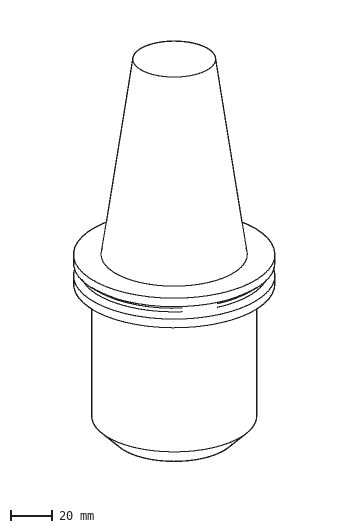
import cadquery as cq
import math

gauge_diameter = 69.85
taper_ratio = 7 / 24
taper_length = 101.75
body_length = 100.0

flange_diameter = 97.5
flange_top = -3.2
flange_bottom = -19.1

groove_floor_diameter = 91.25
groove_center = -11.1
groove_width = 6.7
groove_wall_angle = 30.0
groove_floor_fillet = 1.0

body_diameter = 80.0
body_fillet = 0.5
nose_chamfer = 10.0


def taper_radius(z):
    """Radius of the taper cone at height z."""
    return (gauge_diameter - taper_ratio * z) / 2


def make_blank():
    """Taper, flange and body as one turned solid."""
    flange_radius = flange_diameter / 2
    body_radius = body_diameter / 2
    profile = (
        cq.Workplane("XZ")
        .moveTo(0, taper_length)
        .lineTo(taper_radius(taper_length), taper_length)
        .lineTo(taper_radius(flange_top), flange_top)
        .lineTo(flange_radius, flange_top)
        .lineTo(flange_radius, flange_bottom)
        .lineTo(body_radius + body_fillet, flange_bottom)
        .radiusArc((body_radius, flange_bottom - body_fillet), -body_fillet)
        .lineTo(body_radius, nose_chamfer - body_length)
        .lineTo(body_radius - nose_chamfer, -body_length)
        .lineTo(0, -body_length)
        .close()
    )
    return profile.revolve(360, (0, 0, 0), (0, 1, 0))


def make_groove():
    """Ring removed from the flange rim: a V with a flat floor and rounded floor corners."""
    mouth_radius = flange_diameter / 2
    floor_radius = groove_floor_diameter / 2
    wall_run = (mouth_radius - floor_radius) * math.tan(math.radians(groove_wall_angle))
    mouth_half = groove_width / 2
    floor_half = mouth_half - wall_run
    ring = (
        cq.Workplane("XZ")
        .moveTo(mouth_radius, groove_center + mouth_half)
        .lineTo(floor_radius, groove_center + floor_half)
        .lineTo(floor_radius, groove_center - floor_half)
        .lineTo(mouth_radius, groove_center - mouth_half)
        .close()
        .revolve(360, (0, 0, 0), (0, 1, 0))
    )
    floor_edges = cq.selectors.RadiusNthSelector(0)
    return ring.edges(floor_edges).fillet(groove_floor_fillet)


result = make_blank().cut(make_groove())